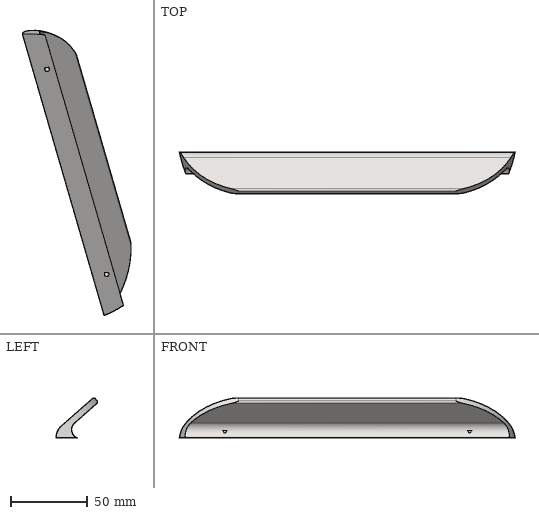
import cadquery as cq
import math

length = 220.0
depth = 27.3
height = 26.2

plate_tilt = math.radians(41.4)
plate_thickness = 4.5
back_radius = 10.5
front_radius = 5.7
hollow_y = 11.2
tip_fillet = 1.3

tip_half_length = 71.0
arc_middle_half_length = 99.0
arc_middle_rise = 20.2

hole_half_spacing = 80.0
hole_diameter = 3.0
hole_depth = 4.8
hole_setback = 18.0

slope_y = -math.cos(plate_tilt)
slope_z = math.sin(plate_tilt)
normal_y = math.sin(plate_tilt)
normal_z = math.cos(plate_tilt)

back_center_y = depth - back_radius
top_offset = back_center_y * normal_y + back_radius
bottom_offset = top_offset - plate_thickness
upper_round_z = height - tip_fillet
upper_round_y = (top_offset - tip_fillet - upper_round_z * normal_z) / normal_y
tip_slope = upper_round_y * slope_y + upper_round_z * slope_z + tip_fillet
plate_rise = tip_slope - depth * slope_y


def plate_point(slope_distance, normal_distance):
    """Point (y, z) given by its distances along the plate and normal to it."""
    y = slope_distance * slope_y + normal_distance * normal_y
    z = slope_distance * slope_z + normal_distance * normal_z
    return y, z


def arc_point(center, radius, angle):
    """Point (y, z) on a circle, with the angle measured from +Y towards +Z."""
    return center[0] + radius * math.cos(angle), center[1] + radius * math.sin(angle)


def make_section():
    """Full-length bar with the foot and plate cross-section."""
    normal_angle = math.pi / 2 - plate_tilt
    back_center = (back_center_y, 0)
    hollow_z = (bottom_offset - front_radius - hollow_y * normal_y) / normal_z
    hollow = (hollow_y, hollow_z)
    foot_angle = -math.asin(hollow_z / front_radius)
    bar = (
        cq.Workplane("YZ", origin=(-length / 2, 0, 0))
        .moveTo(depth, 0)
        .threePointArc(
            arc_point(back_center, back_radius, normal_angle / 2),
            arc_point(back_center, back_radius, normal_angle),
        )
        .lineTo(*plate_point(tip_slope, top_offset))
        .lineTo(*plate_point(tip_slope, bottom_offset))
        .lineTo(*arc_point(hollow, front_radius, normal_angle))
        .threePointArc(
            arc_point(hollow, front_radius, 0),
            arc_point(hollow, front_radius, foot_angle),
        )
        .close()
        .extrude(length)
    )
    tip_y, tip_z = plate_point(tip_slope, (top_offset + bottom_offset) / 2)
    reach = plate_thickness
    tip_box = cq.selectors.BoxSelector(
        (-length, tip_y - reach, tip_z - reach), (length, tip_y + reach, tip_z + reach)
    )
    return bar.edges("|X").edges(tip_box).fillet(tip_fillet)


def make_outline():
    """Prism normal to the plate, with both ends curving in towards the tip."""
    plane = cq.Plane(origin=(0, depth, 0), xDir=(1, 0, 0), normal=(0, -normal_y, -normal_z))
    return (
        cq.Workplane(plane)
        .moveTo(-length / 2, 0)
        .threePointArc((-arc_middle_half_length, arc_middle_rise), (-tip_half_length, plate_rise))
        .lineTo(tip_half_length, plate_rise)
        .threePointArc((arc_middle_half_length, arc_middle_rise), (length / 2, 0))
        .close()
        .extrude(depth, both=True)
    )


def make_screw_holes():
    """Pair of vertical blind holes in the base."""
    return (
        cq.Workplane("XY")
        .pushPoints([(-hole_half_spacing, hole_setback), (hole_half_spacing, hole_setback)])
        .circle(hole_diameter / 2)
        .extrude(hole_depth)
    )


result = make_section().intersect(make_outline()).cut(make_screw_holes())